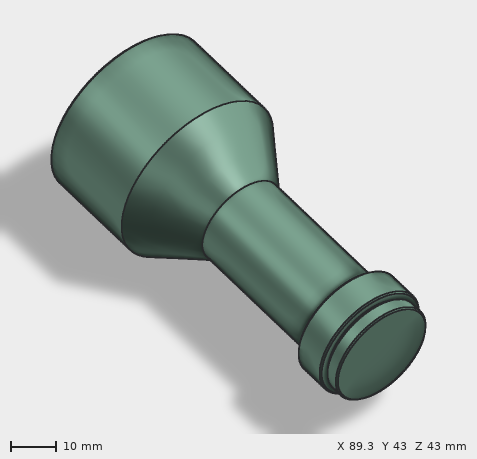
import cadquery as cq

length = 89.3
head_length = 24.9
cone_length = 15.3
collar_start = 77.2
collar_length = 8.0
groove_width = 0.8

head_diameter = 43.0
shank_diameter = 22.0
collar_diameter = 28.2
groove_diameter = 24.1
tip_diameter = 25.5

edge_chamfer = 0.4

collar_end = collar_start + collar_length
tip_start = collar_end + groove_width


def cylinder(start, end, diameter):
    """Round bar along X between two stations."""
    return cq.Workplane("YZ").workplane(offset=start).circle(diameter / 2).extrude(end - start)


head = cylinder(0, head_length, head_diameter).faces("<X").chamfer(edge_chamfer)

cone = (
    cq.Workplane("YZ")
    .workplane(offset=head_length)
    .circle(head_diameter / 2)
    .workplane(offset=cone_length)
    .circle(shank_diameter / 2)
    .loft(ruled=True)
)

shank = cylinder(head_length + cone_length, collar_start, shank_diameter)

collar = cylinder(collar_start, collar_end, collar_diameter).faces("<X or >X").chamfer(edge_chamfer)
groove = cylinder(collar_end, tip_start, groove_diameter)
tip = cylinder(tip_start, length, tip_diameter).faces(">X").chamfer(edge_chamfer)

result = head.union(cone).union(shank).union(collar).union(groove).union(tip)